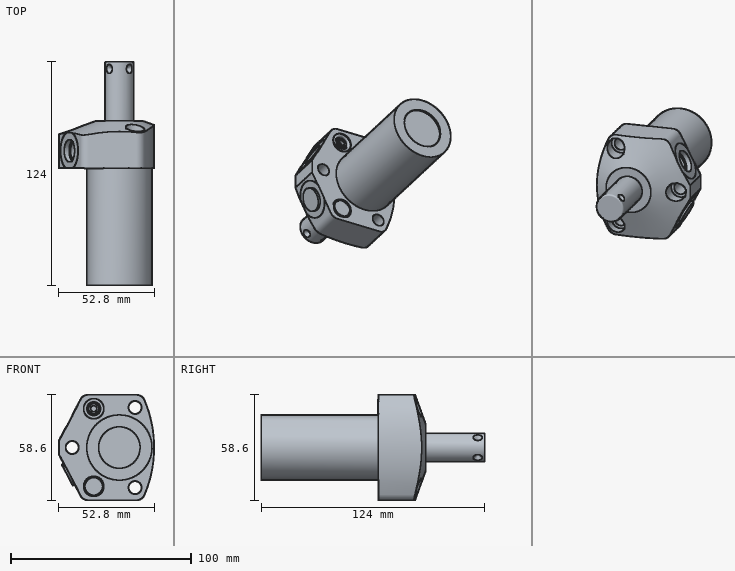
import math

import cadquery as cq


BARREL_DIAMETER = 36.2
BARREL_LENGTH = 65.0
END_RECESS_DIAMETER = 23.0
END_RECESS_DEPTH = 1.0
ROD_DIAMETER = 16.0
ROD_LENGTH = 32.8
ROD_TIP_RADIUS = 0.9
DIMPLE_DIAMETER = 5.0
DIMPLE_DEPTH = DIMPLE_DIAMETER / 2
DIMPLE_TIP_DISTANCE = 4.0
DIMPLE_COUNT = 4
DIMPLE_START_ANGLE = 45

FLANGE_THICKNESS = 26.2
FLANGE_HALF_HEIGHT = 29.3
FLANGE_LEFT_X = -33.5
FLANGE_RIGHT_X = 19.33
LEFT_FLAT_HALF_HEIGHT = 3.95
SLANT_ANGLE = 27.7
RIGHT_ARC_RADIUS = 67.0
CORNER_RADIUS = 5.0
CONE_ANGLE = 20.0
CONE_FLAT_RADIUS = 13.1

MOUNT_HOLE_DIAMETER = 7.1
HEAD_BORE_DIAMETER = 10.5
HEAD_BORE_FLOOR_Y = 14.0
MOUNT_HOLE_POSITIONS = ((-26.15, 0), (8.7, 22.2), (8.7, -22.2))

PORT_Y = 9.6
PORT_HEIGHT = 14.7
SPOTFACE_DIAMETER = 21.0
SPOTFACE_DEPTH = 0.2
PORT_MOUTH_DIAMETER = 12.4
PORT_MOUTH_DEPTH = 3.2
PORT_TAPER_LENGTH = 0.7
PORT_DIAMETER = 11.2
PORT_DEPTH = 17.0
PLUG_DIAMETER = 13.2
PLUG_PROJECTION = 1.2

VALVE_X = -14.2
VALVE_HEIGHT = 21.5
VALVE_SEAT_RADIUS = 5.6
COVER_RADIUS = 4.9
COVER_GROOVE_DEPTH = 1.0
RING_INNER_RADIUS = 3.8
RING_PROJECTION = 0.3
SCREW_HEAD_RADIUS = 3.3
SCREW_HEAD_CHAMFER = 0.5
SCREW_SOCKET_RADIUS = 1.7
SCREW_RECESS_DEPTH = 2.0
SCREW_HEAD_DEPTH = 0.7
SCREW_SOCKET_DEPTH = 3.5

Y_DIRECTION = cq.Vector(0, 1, 0)


def cylinder(point, direction, radius, length):
    """Solid cylinder starting at a point and running along a direction."""
    return cq.Workplane(obj=cq.Solid.makeCylinder(radius, length, point, direction))


def cone(point, direction, start_radius, end_radius, length):
    """Solid cone frustum starting at a point and running along a direction."""
    return cq.Workplane(obj=cq.Solid.makeCone(start_radius, end_radius, length, point, direction))


def along_y(x, y, z, radius, length):
    """Solid cylinder running from y towards +Y."""
    return cylinder(cq.Vector(x, y, z), Y_DIRECTION, radius, length)


def make_flange():
    """Rounded plate whose front face falls away as a cone around the rod."""
    slant_run = (FLANGE_HALF_HEIGHT - LEFT_FLAT_HALF_HEIGHT) * math.tan(math.radians(SLANT_ANGLE))
    slant_top_x = FLANGE_LEFT_X + slant_run
    arc_centre_x = FLANGE_RIGHT_X - RIGHT_ARC_RADIUS
    arc_top_x = arc_centre_x + math.sqrt(RIGHT_ARC_RADIUS**2 - FLANGE_HALF_HEIGHT**2)
    outline = (
        cq.Workplane("XZ")
        .moveTo(FLANGE_LEFT_X, LEFT_FLAT_HALF_HEIGHT)
        .lineTo(slant_top_x, FLANGE_HALF_HEIGHT)
        .lineTo(arc_top_x, FLANGE_HALF_HEIGHT)
        .threePointArc((FLANGE_RIGHT_X, 0), (arc_top_x, -FLANGE_HALF_HEIGHT))
        .lineTo(slant_top_x, -FLANGE_HALF_HEIGHT)
        .lineTo(FLANGE_LEFT_X, -LEFT_FLAT_HALF_HEIGHT)
        .close()
    )
    plate = outline.extrude(-FLANGE_THICKNESS)
    for flat_side in (">Z", "<Z"):
        plate = plate.faces(flat_side).edges("|Y").fillet(CORNER_RADIUS)
    cone_base_radius = CONE_FLAT_RADIUS + FLANGE_THICKNESS / math.tan(math.radians(CONE_ANGLE))
    envelope = cone(cq.Vector(0, 0, 0), Y_DIRECTION, cone_base_radius, CONE_FLAT_RADIUS, FLANGE_THICKNESS)
    return plate.intersect(envelope)


def make_barrel():
    """Cylinder barrel with a shallow round recess in its closed end."""
    barrel = along_y(0, -BARREL_LENGTH, 0, BARREL_DIAMETER / 2, BARREL_LENGTH)
    recess = along_y(0, -BARREL_LENGTH, 0, END_RECESS_DIAMETER / 2, END_RECESS_DEPTH)
    return barrel.cut(recess)


def make_rod():
    """Piston rod with a rounded tip and a ring of conical set-screw dimples."""
    rod = along_y(0, FLANGE_THICKNESS, 0, ROD_DIAMETER / 2, ROD_LENGTH)
    rod = rod.faces(">Y").edges().fillet(ROD_TIP_RADIUS)
    dimple_y = FLANGE_THICKNESS + ROD_LENGTH - DIMPLE_TIP_DISTANCE
    apex_distance = ROD_DIAMETER / 2 - DIMPLE_DEPTH
    for index in range(DIMPLE_COUNT):
        angle = math.radians(DIMPLE_START_ANGLE + index * 360 / DIMPLE_COUNT)
        outward = cq.Vector(math.cos(angle), 0, math.sin(angle))
        apex = outward * apex_distance + cq.Vector(0, dimple_y, 0)
        rod = rod.cut(cone(apex, outward, 0, DIMPLE_DIAMETER / 2, DIMPLE_DEPTH))
    return rod


def drill_mount_holes(body):
    """Through holes parallel to the barrel, bored out for screw heads from the rod side."""
    head_bore_length = FLANGE_THICKNESS - HEAD_BORE_FLOOR_Y
    for x, z in MOUNT_HOLE_POSITIONS:
        body = body.cut(along_y(x, 0, z, MOUNT_HOLE_DIAMETER / 2, FLANGE_THICKNESS))
        body = body.cut(along_y(x, HEAD_BORE_FLOOR_Y, z, HEAD_BORE_DIAMETER / 2, head_bore_length))
    return body


def add_ports(body):
    """Spotfaced port in the upper slanted face and a plugged one in the lower."""
    slant = math.radians(SLANT_ANGLE)
    port_x = FLANGE_LEFT_X + (PORT_HEIGHT - LEFT_FLAT_HALF_HEIGHT) * math.tan(slant)
    for side in (1, -1):
        centre = cq.Vector(port_x, PORT_Y, side * PORT_HEIGHT)
        inward = cq.Vector(math.cos(slant), 0, -side * math.sin(slant))
        body = body.cut(cylinder(centre, inward, SPOTFACE_DIAMETER / 2, SPOTFACE_DEPTH))
        if side > 0:
            body = body.cut(cylinder(centre, inward, PORT_MOUTH_DIAMETER / 2, PORT_MOUTH_DEPTH))
            taper_start = centre + inward * PORT_MOUTH_DEPTH
            mouth_radius = PORT_MOUTH_DIAMETER / 2
            body = body.cut(cone(taper_start, inward, mouth_radius, PORT_DIAMETER / 2, PORT_TAPER_LENGTH))
            body = body.cut(cylinder(centre, inward, PORT_DIAMETER / 2, PORT_DEPTH))
        else:
            base = centre + inward * SPOTFACE_DEPTH
            plug_length = SPOTFACE_DEPTH + PLUG_PROJECTION
            body = body.union(cylinder(base, -inward, PLUG_DIAMETER / 2, plug_length))
    return body


def add_adjusting_screw(body):
    """Rounded ring around a recessed adjusting screw with a socket."""
    x = VALVE_X
    z = VALVE_HEIGHT
    ring_radius = (VALVE_SEAT_RADIUS - RING_INNER_RADIUS) / 2
    ring_middle = VALVE_SEAT_RADIUS - ring_radius
    ring_edge_y = ring_radius - RING_PROJECTION
    ring = (
        cq.Workplane("XY", origin=(x, 0, z))
        .moveTo(RING_INNER_RADIUS, SCREW_RECESS_DEPTH)
        .lineTo(RING_INNER_RADIUS, ring_edge_y)
        .threePointArc((ring_middle, -RING_PROJECTION), (VALVE_SEAT_RADIUS, ring_edge_y))
        .lineTo(VALVE_SEAT_RADIUS, SCREW_RECESS_DEPTH)
        .close()
        .revolve(360, (0, 0, 0), (0, 1, 0))
    )
    screw_length = SCREW_RECESS_DEPTH - SCREW_HEAD_DEPTH
    screw = along_y(x, SCREW_HEAD_DEPTH, z, SCREW_HEAD_RADIUS, screw_length)
    screw = screw.faces("<Y").chamfer(SCREW_HEAD_CHAMFER)
    body = body.cut(along_y(x, 0, z, VALVE_SEAT_RADIUS, SCREW_RECESS_DEPTH))
    body = body.union(ring).union(screw)
    return body.cut(along_y(x, 0, z, SCREW_SOCKET_RADIUS, SCREW_SOCKET_DEPTH))


def cut_cover_groove(body):
    """Narrow ring groove around the flush cover below the adjusting screw."""
    groove = along_y(VALVE_X, 0, -VALVE_HEIGHT, VALVE_SEAT_RADIUS, COVER_GROOVE_DEPTH)
    cover = along_y(VALVE_X, 0, -VALVE_HEIGHT, COVER_RADIUS, COVER_GROOVE_DEPTH)
    return body.cut(groove.cut(cover))


flange = make_flange()
flange = drill_mount_holes(flange)
flange = add_ports(flange)
flange = add_adjusting_screw(flange)
flange = cut_cover_groove(flange)
result = flange.union(make_barrel()).union(make_rod())